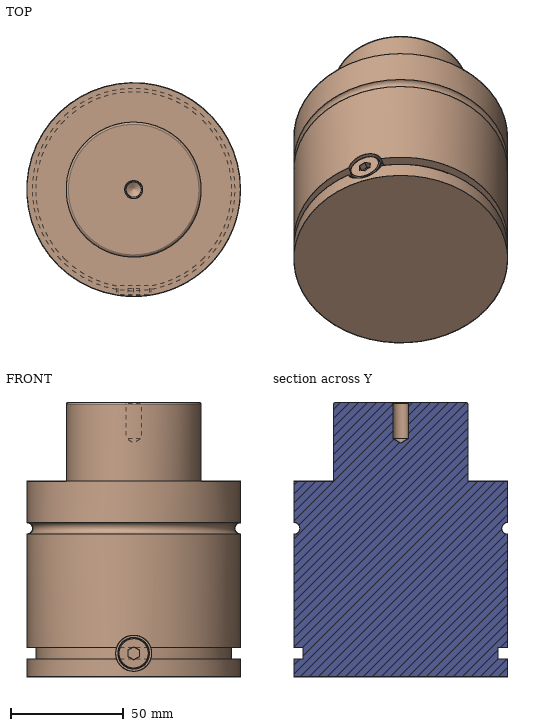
import cadquery as cq
import math

total_height = 122.0
body_diameter = 95.0
body_height = 87.0
rod_diameter = 60.0
rod_edge_radius = 1.0

base_flange_height = 8.0
base_groove_width = 5.0
base_groove_diameter = 87.0

round_groove_radius = 2.5
round_groove_height = 66.0

hole_diameter = 6.8
hole_mouth_diameter = 8.0
hole_depth = 16.0
drill_point_angle = 118.0

plug_height = base_flange_height + base_groove_width / 2
plug_diameter = 14.0
plug_length = 12.0
plug_recess = 0.5
plug_chamfer = 0.5
plug_seat_diameter = 16.0
plug_seat_depth = 4.8
hex_across_flats = 5.0
hex_depth = 3.0

body_radius = body_diameter / 2
plug_face_distance = body_radius - plug_recess


def make_body():
    """Turned body, rod and both ring grooves, as one revolved half section."""
    rod_radius = rod_diameter / 2
    groove_floor_radius = base_groove_diameter / 2
    base_groove_top = base_flange_height + base_groove_width
    section = (
        cq.Workplane("XZ")
        .lineTo(body_radius, 0)
        .lineTo(body_radius, base_flange_height)
        .lineTo(groove_floor_radius, base_flange_height)
        .lineTo(groove_floor_radius, base_groove_top)
        .lineTo(body_radius, base_groove_top)
        .lineTo(body_radius, round_groove_height - round_groove_radius)
        .threePointArc(
            (body_radius - round_groove_radius, round_groove_height),
            (body_radius, round_groove_height + round_groove_radius),
        )
        .lineTo(body_radius, body_height)
        .lineTo(rod_radius, body_height)
        .lineTo(rod_radius, total_height - rod_edge_radius)
        .radiusArc((rod_radius - rod_edge_radius, total_height), -rod_edge_radius)
        .lineTo(0, total_height)
        .close()
    )
    return section.revolve(360, (0, 0, 0), (0, 1, 0))


def make_rod_hole():
    """Cutter for the drilled hole: chamfered mouth, straight wall, conical point."""
    hole_radius = hole_diameter / 2
    mouth_radius = hole_mouth_diameter / 2
    mouth_depth = mouth_radius - hole_radius
    point_depth = hole_radius / math.tan(math.radians(drill_point_angle / 2))
    section = (
        cq.Workplane("XZ")
        .moveTo(0, total_height)
        .lineTo(mouth_radius, total_height)
        .lineTo(hole_radius, total_height - mouth_depth)
        .lineTo(hole_radius, total_height - hole_depth)
        .lineTo(0, total_height - hole_depth - point_depth)
        .close()
    )
    return section.revolve(360, (0, 0, 0), (0, 1, 0))


def side_plane(distance):
    """Plane facing -Y, centred on the plug axis at a distance from the part axis."""
    return cq.Workplane("XZ", origin=(0, -distance, plug_height))


def make_plug_seat():
    """Cutter for the flat-floored counterbore around the plug."""
    return side_plane(body_radius).circle(plug_seat_diameter / 2).extrude(-plug_seat_depth)


def make_plug():
    """Round plug with a chamfered outer rim."""
    return (
        side_plane(plug_face_distance)
        .circle(plug_diameter / 2)
        .extrude(-plug_length)
        .faces("<Y")
        .chamfer(plug_chamfer)
    )


def make_hex_socket():
    """Cutter for the hexagon socket in the plug, with two corners on the vertical."""
    hex_across_corners = hex_across_flats / math.cos(math.pi / 6)
    return (
        side_plane(plug_face_distance)
        .transformed(rotate=(0, 0, 90))
        .polygon(6, hex_across_corners)
        .extrude(-hex_depth)
    )


result = make_body().cut(make_rod_hole()).cut(make_plug_seat())
result = result.union(make_plug()).cut(make_hex_socket())